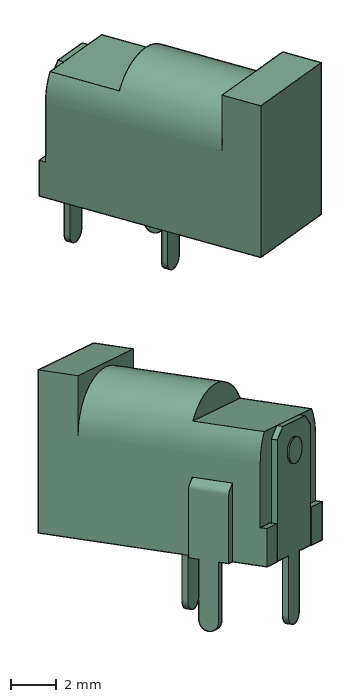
import cadquery as cq

overall_length = 11.45
housing_width = 5.0
housing_height = 7.4
barrel_radius = housing_width / 2
barrel_axis_z = 4.7
collar_length = 1.99
collar_start_x = overall_length - collar_length
rear_wall_x = 0.38
step_x = 3.94
step_z = 6.0

lug_start_x = 0.05
lug_height = 1.74
left_lug_width = 0.9
right_lug_width = 0.97

strip_thickness = 0.3
tail_width = 1.0
tail_length = 3.21

plate_width = 2.99
plate_chamfer = 0.49
rivet_diameter = 1.2

side_terminal_x = 2.76
side_plate_width = 2.0
side_plate_height = 3.57
side_plate_depth = 0.34
side_plate_bend = 0.29

middle_terminal_x = 5.1


def box(x_start, y_start, z_start, length, width, height):
    """Box given by its lowest corner and its size."""
    block = cq.Workplane("XY").box(length, width, height, centered=False)
    return block.translate((x_start, y_start, z_start))


def solder_tail(across_x=False):
    """Round-ended tail hanging from Z = 0, one strip thick from X = 0 towards +X.

    With across_x the tail is wide along X instead, and its thickness runs from Y = 0 towards +Y.
    """
    half_width = tail_width / 2
    straight_end_z = half_width - tail_length
    plane = "XZ" if across_x else "YZ"
    tail = (
        cq.Workplane(plane)
        .moveTo(-half_width, 0)
        .lineTo(half_width, 0)
        .lineTo(half_width, straight_end_z)
        .threePointArc((0, -tail_length), (-half_width, straight_end_z))
        .close()
        .extrude(strip_thickness)
    )
    return tail.translate((0, strip_thickness, 0)) if across_x else tail


def make_housing_shell():
    """Round-topped barrel with a flat rear step, a square collar and two rear lugs."""
    half_width = housing_width / 2
    barrel = (
        cq.Workplane("YZ", origin=(rear_wall_x, 0, 0))
        .moveTo(-half_width, 0)
        .lineTo(half_width, 0)
        .lineTo(half_width, barrel_axis_z)
        .threePointArc((0, barrel_axis_z + barrel_radius), (-half_width, barrel_axis_z))
        .close()
        .extrude(collar_start_x - rear_wall_x)
    )
    step = box(rear_wall_x, -half_width, step_z, step_x - rear_wall_x, housing_width, housing_height - step_z)
    collar = box(collar_start_x, -half_width, 0, collar_length, housing_width, housing_height)
    lug_length = rear_wall_x - lug_start_x
    left_lug = box(lug_start_x, half_width - left_lug_width, 0, lug_length, left_lug_width, lug_height)
    right_lug = box(lug_start_x, -half_width, 0, lug_length, right_lug_width, lug_height)
    return barrel.cut(step).union(collar).union(left_lug).union(right_lug)


def make_side_terminal():
    """Wide plate on the +Y wall, bending back into the wall at 45 degrees, with a tail below."""
    wall_y = housing_width / 2
    outer_y = wall_y + side_plate_depth
    plate = (
        cq.Workplane("YZ", origin=(side_terminal_x - side_plate_width / 2, 0, 0))
        .moveTo(wall_y, 0)
        .lineTo(outer_y, 0)
        .lineTo(outer_y, side_plate_height - side_plate_depth)
        .lineTo(wall_y, side_plate_height)
        .close()
        .extrude(side_plate_width)
    )
    bend_edge = plate.faces(">Y").edges(">Z")
    plate = bend_edge.fillet(side_plate_bend)
    tail_y = outer_y - strip_thickness
    return plate.union(solder_tail(across_x=True).translate((side_terminal_x, tail_y, 0)))


def make_housing():
    """Housing in one piece with its side terminal and middle tail."""
    middle_tail = solder_tail().translate((middle_terminal_x, 0, 0))
    return make_housing_shell().union(make_side_terminal()).union(middle_tail)


def make_rear_terminal():
    """Plate against the rear wall with chamfered top corners, a tail and a rivet head."""
    plate_x = rear_wall_x - strip_thickness
    plate = box(plate_x, -plate_width / 2, 0, strip_thickness, plate_width, step_z)
    plate = plate.edges("|X and >Z").chamfer(plate_chamfer)
    rivet = (
        cq.Workplane("YZ")
        .center(0, barrel_axis_z)
        .circle(rivet_diameter / 2)
        .extrude(plate_x)
    )
    return plate.union(solder_tail().translate((plate_x, 0, 0))).union(rivet)


housing = make_housing()
rear_terminal = make_rear_terminal()

result = cq.Compound.makeCompound([housing.val(), rear_terminal.val()])